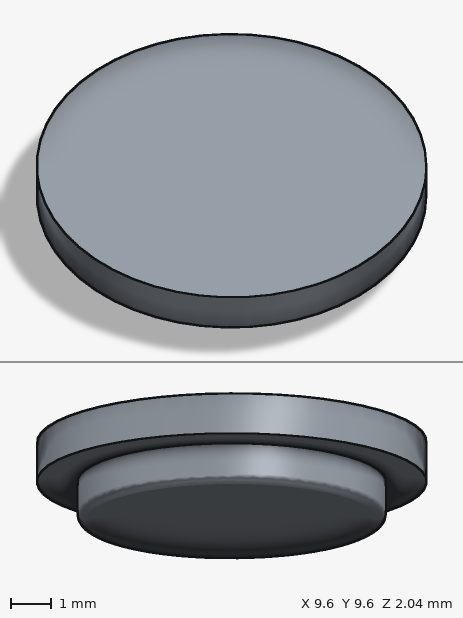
import cadquery as cq
import math

flange_diameter = 9.6
flange_thickness = 1.0
boss_diameter = 7.6
boss_height = 1.0
boss_edge_radius = 0.2
face_tilt = 0.27

slab_half_width = flange_diameter
slab_drop = slab_half_width * math.tan(math.radians(face_tilt))
end_allowance = 0.5


def make_tilted_slab():
    """Slab between the tilted bottom face and the tilted top face."""
    return (
        cq.Workplane("YZ")
        .moveTo(-slab_half_width, flange_thickness + slab_drop)
        .lineTo(slab_half_width, flange_thickness - slab_drop)
        .lineTo(slab_half_width, -boss_height - slab_drop)
        .lineTo(-slab_half_width, -boss_height + slab_drop)
        .close()
        .extrude(slab_half_width, both=True)
    )


def make_flange(slab):
    """Disc with a flat underside at Z = 0 and a tilted top face."""
    disc = cq.Workplane("XY").circle(flange_diameter / 2).extrude(flange_thickness + end_allowance)
    return disc.intersect(slab)


def make_boss(slab):
    """Smaller disc below the flange with a tilted, rounded bottom edge."""
    disc = cq.Workplane("XY").circle(boss_diameter / 2).extrude(-boss_height - end_allowance)
    return disc.intersect(slab).faces("<Z").edges().fillet(boss_edge_radius)


tilted_slab = make_tilted_slab()
result = make_flange(tilted_slab).union(make_boss(tilted_slab))